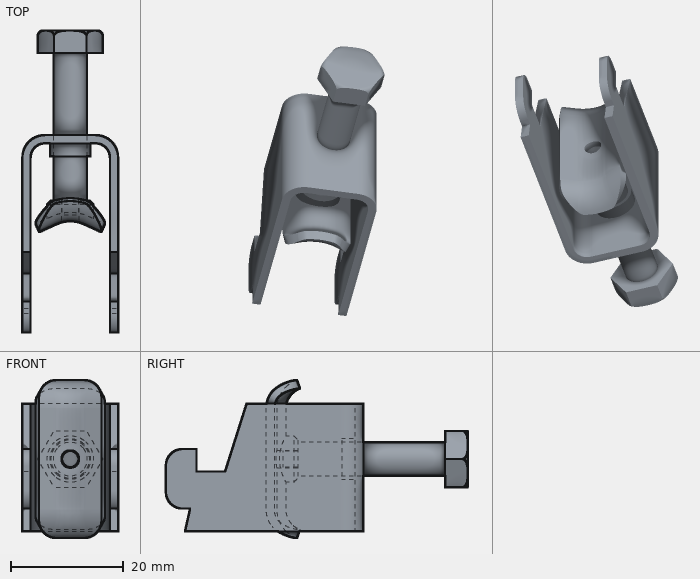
import cadquery as cq
import math


bracket_width = 17.0
bracket_length = 35.0
bracket_top = 9.8
bracket_bottom = -12.8
sheet = 1.5
bend_radius = 4.0
slope_start = 20.7
slope_end = 24.5
notch_floor = -2.2
hook_start = 29.5
hook_top = 1.8
hook_bottom = -8.8
hook_radius = 3.0
undercut_start = 30.7
foot_end = 31.6
sleeve_diameter = 7.2
sleeve_length = 2.3

shank_diameter = 6.0
head_back = 18.5
head_height = 4.0
head_flats = 10.0
head_corners = head_flats / math.cos(math.radians(30))
head_rounding = 1.0
pin_diameter = 2.9
pin_recess = 1.1

pad_thickness = 1.6
pad_width = 11.0
pad_height = 28.0
pad_front = -15.3
trough_radius = 6.0
wing_start = 2.5
pad_end_bend_radius = 5.35
pad_straight_height = 17.9
pad_corner_radius = 3.0
pad_hole_diameter = 3.1
boss_diameter = 8.2
boss_back = -11.6
boss_chamfer = 0.7


def y_cylinder(diameter, y_from, y_to):
    """Cylinder on the bolt axis between two Y positions."""
    bottom = min(y_from, y_to)
    return (
        cq.Workplane("XZ", origin=(0, bottom, 0))
        .circle(diameter / 2)
        .extrude(-abs(y_to - y_from))
    )


def bracket_strip():
    """U-shaped strip, seen along Z, over the full height of the bracket."""
    height = bracket_top - bracket_bottom
    outer = (
        cq.Workplane("XY", origin=(0, -bracket_length / 2, bracket_bottom))
        .rect(bracket_width, bracket_length)
        .extrude(height)
        .edges("|Z and >Y")
        .fillet(bend_radius)
    )
    inner = (
        cq.Workplane("XY", origin=(0, -bracket_length / 2 - sheet, bracket_bottom))
        .rect(bracket_width - 2 * sheet, bracket_length)
        .extrude(height)
        .edges("|Z and >Y")
        .fillet(bend_radius - sheet)
    )
    return outer.cut(inner)


def side_outline():
    """Side plate outline with its sloped edge, notch, hook and undercut foot."""
    return (
        cq.Workplane("YZ", origin=(-bracket_width / 2, 0, 0))
        .moveTo(0, bracket_bottom)
        .lineTo(0, bracket_top)
        .lineTo(-slope_start, bracket_top)
        .lineTo(-slope_end, notch_floor)
        .lineTo(-hook_start, notch_floor)
        .lineTo(-hook_start, hook_top)
        .lineTo(-bracket_length + hook_radius, hook_top)
        .radiusArc((-bracket_length, hook_top - hook_radius), -hook_radius)
        .lineTo(-bracket_length, hook_bottom + hook_radius)
        .radiusArc((-bracket_length + hook_radius, hook_bottom), -hook_radius)
        .lineTo(-undercut_start, hook_bottom)
        .lineTo(-foot_end, bracket_bottom)
        .close()
        .extrude(bracket_width)
    )


def make_bracket():
    sleeve = y_cylinder(sleeve_diameter, -sheet, -sheet - sleeve_length)
    bore = y_cylinder(shank_diameter, 0, -sheet - sleeve_length)
    return bracket_strip().intersect(side_outline()).union(sleeve).cut(bore)


def make_bolt():
    hexagon = (
        cq.Workplane("XZ", origin=(0, head_back, 0))
        .polygon(6, head_corners)
        .extrude(head_height)
    )
    rounding = (
        y_cylinder(head_corners, head_back - head_height, head_back)
        .faces(">Y")
        .edges()
        .fillet(head_rounding)
    )
    shank = y_cylinder(shank_diameter, boss_back, head_back - head_height)
    pin = y_cylinder(pin_diameter, pad_front + pin_recess, boss_back)
    return hexagon.intersect(rounding).union(shank).union(pin)


def pad_block():
    """Block whose front is the troughed pad face, rounded over at both ends."""
    wing_angle = math.asin(wing_start / trough_radius)
    trough_edge = pad_front - trough_radius * (1 - math.cos(wing_angle))
    block_edge = trough_edge - (pad_width - wing_start) * math.tan(wing_angle)
    block_back = pad_front + 2 * pad_width
    height = pad_straight_height + 2 * pad_end_bend_radius
    return (
        cq.Workplane("XY", origin=(0, 0, -height / 2))
        .moveTo(-pad_width, block_edge)
        .lineTo(-wing_start, trough_edge)
        .threePointArc((0, pad_front), (wing_start, trough_edge))
        .lineTo(pad_width, block_edge)
        .lineTo(pad_width, block_back)
        .lineTo(-pad_width, block_back)
        .close()
        .extrude(height)
        .faces("<Z or >Z")
        .edges()
        .filter(lambda edge: edge.Center().y < pad_front)
        .fillet(pad_end_bend_radius)
    )


def pad_plate():
    """Plate made by thickening the trimmed front of the block, square to its surface."""
    outline = (
        cq.Workplane("XZ", origin=(0, pad_front + pad_end_bend_radius, 0))
        .rect(pad_width, pad_height)
        .extrude(pad_width)
        .edges("|Y")
        .fillet(pad_corner_radius)
    )
    trimmed = pad_block().intersect(outline)
    front_faces = trimmed.faces().filter(lambda face: face.normalAt().y < -0.1)
    front_skin = cq.Shell.makeShell(front_faces.vals())
    return cq.Workplane(cq.occ_impl.shapes.offset(front_skin, -pad_thickness))


def make_pad():
    boss = y_cylinder(boss_diameter, pad_front, boss_back).faces(">Y").chamfer(boss_chamfer)
    pin_hole = y_cylinder(pad_hole_diameter, pad_front - pad_thickness, boss_back)
    return pad_plate().union(boss).cut(pin_hole)


bracket = make_bracket()
bolt = make_bolt()
pad = make_pad()

result = cq.Compound.makeCompound([body.solids().val() for body in (bracket, bolt, pad)])